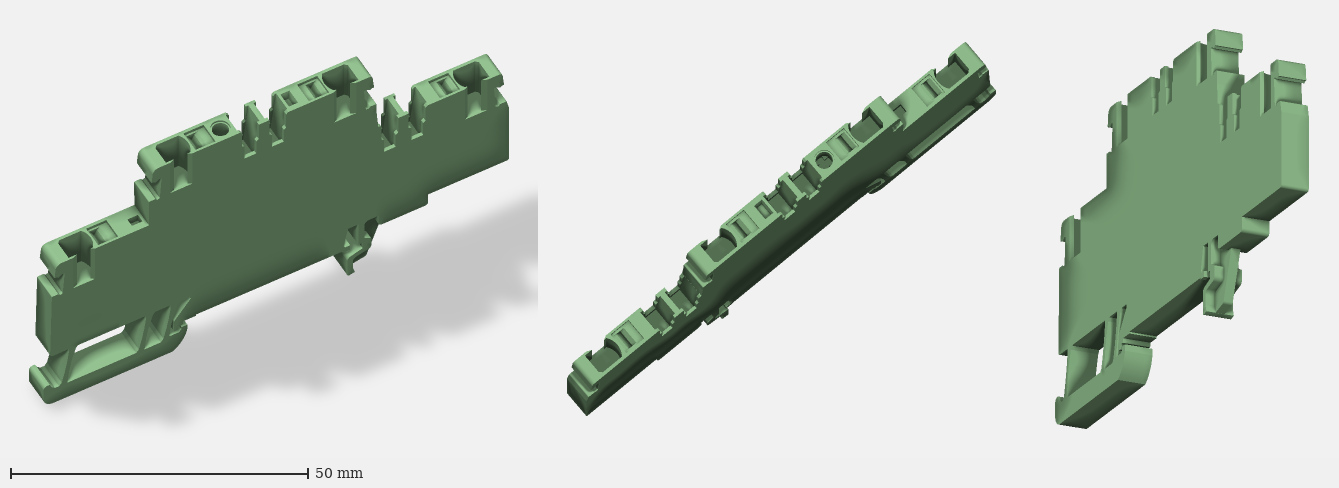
import math

import cadquery as cq


THICKNESS = 5.1
LENGTH = 89.73
HEIGHT = 50.15
LOWER_DECK = 36.05
BODY_BOTTOM = 12.47
BODY_FRONT = 1.25
OVERLAP = 0.5

LOWER_BACK_TIP = 88.75
UPPER_BACK_TIP = 63.7
UPPER_FRONT_TIP = 20.8
LOWER_FRONT_TIP = 2.1
UPPER_FRONT_WALL = 20.33
UPPER_BACK_WALL = 64.5
UPPER_BACK_WALL_LEAN = 0.3
UPPER_BACK_WALL_BEND = 3.8
BACK_FACE_BEND = 26.0

HOOK_LEAN = 0.34
BACK_HOOK_ROUND = 0.8
FRONT_HOOK_ROUND = 1.2
HOOK_DROP = 3.25
NOTCH_INNER = 1.95
NOTCH_BULGE = 0.5
NOTCH_DROP = 7.9

LOWER_SLOT_CENTRE = 69.37
UPPER_SLOT_CENTRE = 42.5
SLOT_DEPTH = 7.3
STEP_DEPTH = 3.8
STEP_SLOPE = 0.35
TOOTH_TOP_HALF = 1.0
TOOTH_ROOT_HALF = 1.5
SLOT_ROOT_HALF = 3.8
SLOT_MOUTH_HALF = 4.25
SLOT_CORNER = 0.4
CORE_TOOTH_HALF = 0.5
CORE_TOOTH_ROOT_HALF = 1.5
CORE_MOUTH_HALF = 4.85
CORE_ROOT_HALF = 3.75
CORE_DEPTH = 8.5
CORE_X = (0.55, 4.4)

LOWER_BACK_ENTRY = 86.15
UPPER_BACK_ENTRY = 60.9
UPPER_FRONT_ENTRY = 23.8
LOWER_FRONT_ENTRY = 5.05
ENTRY_X = (0.58, 4.7)
ENTRY_LENGTH = 5.4
ENTRY_ARC_SAG = 0.7
ENTRY_ROUND = 0.5
ENTRY_DEPTH = 8.0
WINDOW_INNER = (1.6, 4.2)
WINDOW_OUTER = (0.6, 4.9)
CLAMP_START = 5.65
CLAMP_LENGTH = 3.9
CLAMP_FLAT = 1.4
CLAMP_DEPTH = 0.6
GROOVE_X = (0.95, 4.25)
GROOVE_LENGTH = 2.2
GROOVE_DEPTH = 2.0

SCREW_Y = 35.47
SCREW_X = 2.6
SCREW_RIM_RADIUS = 1.7
SCREW_RIM_DEPTH = 0.4
SCREW_HOLE_RADIUS = 1.45
SCREW_HOLE_DEPTH = 4.0
CROSS_WIDTH = 1.1
CROSS_DEPTH = 0.8
TEST_POCKET_X = (1.1, 4.1)
TEST_POCKET_Y = (47.85, 49.6)
TEST_POCKET_DEPTH = 1.5
TEST_POCKET_TAPER = 14.0
LEDGE_POCKET_X = (2.2, 3.8)
LEDGE_POCKET_Y = (17.75, 19.8)
LEDGE_POCKET_DEPTH = 1.5

SEAT_BOTTOM = 7.12
SEAT_LIP = 6.81
SEAT_HOOK_Y = 25.14
SEAT_HOOK_BOTTOM = 5.18
FOOT_BAR_TOP = 3.76
FOOT_TOE_TOP = 5.18
FOOT_HEEL_Y = 27.7
FOOT_HEEL_TOP = 5.46
FOOT_HOLLOW = 4.4
FOOT_TOE_ROUND = 1.9
FOOT_TOE_TOP_ROUND = 0.8
RIB_FRONTS = (24.5, 19.76, 4.9)
CLIP_BLOCK_Y = (64.5, 74.1)
CLIP_BLOCK_BOTTOM = 9.83
WEB_THICKNESS = 1.7


def rounded_profile(points):
    """Close an outline of (y, z) or (y, z, radius) corners in the YZ plane."""
    starts_and_ends = []
    for i, corner in enumerate(points):
        here = cq.Vector(0, corner[0], corner[1])
        if len(corner) == 2:
            starts_and_ends.append((here, None, here))
            continue
        before = cq.Vector(0, *points[i - 1][:2]) - here
        after = cq.Vector(0, *points[(i + 1) % len(points)][:2]) - here
        half_angle = before.getAngle(after) / 2
        setback = corner[2] / math.tan(half_angle)
        bisector = (before.normalized() + after.normalized()).normalized()
        middle = here + bisector * (corner[2] / math.sin(half_angle) - corner[2])
        start = here + before.normalized() * setback
        end = here + after.normalized() * setback
        starts_and_ends.append((start, middle, end))

    edges = []
    for i, (start, middle, end) in enumerate(starts_and_ends):
        if middle is not None:
            edges.append(cq.Edge.makeThreePointArc(start, middle, end))
        next_start = starts_and_ends[(i + 1) % len(points)][0]
        edges.append(cq.Edge.makeLine(end, next_start))
    return cq.Wire.assembleEdges(edges)


def plate(points, x_range=(0, THICKNESS)):
    """Extrude a YZ outline across the given X range."""
    face = cq.Face.makeFromWires(rounded_profile(points))
    solid = cq.Solid.extrudeLinear(face, cq.Vector(x_range[1] - x_range[0], 0, 0))
    return cq.Workplane(obj=solid.translate(cq.Vector(x_range[0], 0, 0)))


def box(x_range, y_range, z_range):
    size = [high - low for low, high in (x_range, y_range, z_range)]
    return cq.Workplane().box(*size, centered=False).translate((x_range[0], y_range[0], z_range[0]))


def end_notch(tip, inward, deck, hook_round):
    """Corners from the wall below a notch, around it and up to the hook's rounded top."""
    local = [
        (-NOTCH_BULGE, NOTCH_DROP, 0.2),
        (0.75, NOTCH_DROP),
        (1.1, NOTCH_DROP + 0.45),
        (NOTCH_INNER - 0.35, NOTCH_DROP + 0.2),
        (NOTCH_INNER, HOOK_DROP - 0.1),
        (NOTCH_INNER - 0.4, HOOK_DROP - 0.25),
        (0.75, HOOK_DROP + 0.3),
        (0.35, HOOK_DROP),
        (0, HOOK_DROP),
        (HOOK_LEAN, 0, hook_round),
    ]
    return [(tip + inward * y, deck - drop, *radius) for y, drop, *radius in local]


def main_body():
    corners = [(LENGTH, BODY_BOTTOM, 0.5), (LENGTH, BACK_FACE_BEND)]
    corners += end_notch(LOWER_BACK_TIP, -1, LOWER_DECK, BACK_HOOK_ROUND)
    corners += [
        (UPPER_BACK_WALL, LOWER_DECK),
        (UPPER_BACK_WALL - UPPER_BACK_WALL_LEAN, LOWER_DECK + UPPER_BACK_WALL_BEND),
    ]
    corners += end_notch(UPPER_BACK_TIP, -1, HEIGHT, BACK_HOOK_ROUND)
    corners += reversed(end_notch(UPPER_FRONT_TIP, 1, HEIGHT, FRONT_HOOK_ROUND))
    corners += [(UPPER_FRONT_WALL, LOWER_DECK)]
    corners += reversed(end_notch(LOWER_FRONT_TIP, 1, LOWER_DECK, FRONT_HOOK_ROUND))
    corners += [(BODY_FRONT, BODY_BOTTOM, 0.6)]
    return plate(corners)


def marker_slot(centre, side, deck):
    """Stepped slot on one side of the tooth, with its wider, deeper core."""
    floor = deck - SLOT_DEPTH
    core_floor = deck - CORE_DEPTH
    step = deck - STEP_DEPTH
    above = deck + OVERLAP

    def place(corners):
        return [(centre + side * y, z) for y, z in corners]

    stepped = place([
        (TOOTH_TOP_HALF, above),
        (TOOTH_TOP_HALF, step),
        (TOOTH_ROOT_HALF, step - STEP_SLOPE),
        (TOOTH_ROOT_HALF, floor),
        (SLOT_ROOT_HALF, floor),
        (SLOT_ROOT_HALF, step - STEP_SLOPE),
        (SLOT_MOUTH_HALF, step),
        (SLOT_MOUTH_HALF, deck - SLOT_CORNER),
        (SLOT_MOUTH_HALF + SLOT_CORNER, deck),
        (SLOT_MOUTH_HALF + SLOT_CORNER, above),
    ])
    core = place([
        (CORE_TOOTH_HALF, above),
        (CORE_TOOTH_HALF, deck),
        (CORE_TOOTH_ROOT_HALF, core_floor),
        (CORE_ROOT_HALF, core_floor),
        (CORE_MOUTH_HALF, deck),
        (CORE_MOUTH_HALF, above),
    ])
    return plate(stepped).union(plate(core, CORE_X))


def wire_entry(outer, inward, deck):
    """Plug hole with an arched inner end, and its flared opening through the +X wall."""
    straight_end = outer + inward * (ENTRY_LENGTH - ENTRY_ARC_SAG)
    floor = deck - ENTRY_DEPTH
    middle_x = sum(ENTRY_X) / 2
    hole = (
        cq.Workplane(origin=(0, 0, floor))
        .moveTo(ENTRY_X[1], outer)
        .lineTo(ENTRY_X[1], straight_end)
        .threePointArc((middle_x, outer + inward * ENTRY_LENGTH), (ENTRY_X[0], straight_end))
        .lineTo(ENTRY_X[0], outer + inward * ENTRY_ROUND)
        .lineTo(ENTRY_X[0] + ENTRY_ROUND, outer)
        .close()
        .extrude(ENTRY_DEPTH)
    )
    window = (
        cq.Workplane(origin=(0, 0, floor))
        .polyline([
            (ENTRY_X[1], outer + inward * WINDOW_INNER[0]),
            (THICKNESS, outer + inward * WINDOW_OUTER[0]),
            (THICKNESS, outer + inward * WINDOW_OUTER[1]),
            (ENTRY_X[1], outer + inward * WINDOW_INNER[1]),
        ])
        .close()
        .extrude(ENTRY_DEPTH)
    )
    return hole.union(window)


def clamp_recess(entry_end, inward, deck):
    """Shallow recess with a cross groove: a steep +Y flank and a gentler -Y flank."""
    near = entry_end + inward * CLAMP_START
    far = near + inward * CLAMP_LENGTH
    low_y = min(near, far)
    floor = deck - CLAMP_DEPTH
    recess = box(ENTRY_X, (low_y, low_y + CLAMP_LENGTH), (floor, deck))
    groove_far = far - inward * CLAMP_FLAT
    groove_y = min(groove_far, groove_far - inward * GROOVE_LENGTH)
    groove = plate(
        [
            (groove_y, floor),
            (groove_y + 0.7, floor - 0.4 * GROOVE_DEPTH),
            (groove_y + 0.8, floor - GROOVE_DEPTH),
            (groove_y + 1.6, floor - 0.2 * GROOVE_DEPTH),
            (groove_y + GROOVE_LENGTH, floor),
        ],
        GROOVE_X,
    )
    return recess.union(groove)


def screw_hole():
    """Stepped round hole in the upper deck with a cross recess at its bottom."""
    floor = HEIGHT - SCREW_HOLE_DEPTH
    rim = cq.Workplane(origin=(SCREW_X, SCREW_Y, HEIGHT)).circle(SCREW_RIM_RADIUS)
    hole = cq.Workplane(origin=(SCREW_X, SCREW_Y, floor)).circle(SCREW_HOLE_RADIUS)
    below = cq.Workplane(origin=(SCREW_X, SCREW_Y, floor)).circle(SCREW_HOLE_RADIUS).extrude(-CROSS_DEPTH)
    arm = cq.Workplane(origin=(SCREW_X, SCREW_Y, floor)).rect(2 * SCREW_HOLE_RADIUS, CROSS_WIDTH)
    arm = arm.extrude(-CROSS_DEPTH)
    other_arm = arm.rotate((SCREW_X, SCREW_Y, 0), (SCREW_X, SCREW_Y, 1), 90)
    cross = arm.union(other_arm).intersect(below)
    return rim.extrude(-SCREW_RIM_DEPTH).union(hole.extrude(SCREW_HOLE_DEPTH)).union(cross)


def test_pocket():
    """Tapered rectangular pocket beside the upper marker slots."""
    centre = (sum(TEST_POCKET_X) / 2, sum(TEST_POCKET_Y) / 2, HEIGHT)
    size = (TEST_POCKET_X[1] - TEST_POCKET_X[0], TEST_POCKET_Y[1] - TEST_POCKET_Y[0])
    return cq.Workplane(origin=centre).rect(*size).extrude(-TEST_POCKET_DEPTH, taper=TEST_POCKET_TAPER)


def ledge_pocket():
    """Narrow pocket in the front lower deck, close to the upper level's wall."""
    return box(
        LEDGE_POCKET_X,
        LEDGE_POCKET_Y,
        (LOWER_DECK - LEDGE_POCKET_DEPTH, LOWER_DECK),
    )


def rail_seat():
    """Pad resting on the rail, with a catch lip at each end."""
    return plate([
        (28.2, BODY_BOTTOM + OVERLAP),
        (58.7, BODY_BOTTOM + OVERLAP),
        (58.7, BODY_BOTTOM),
        (57.75, 8.4, 0.3),
        (58.1, 7.9),
        (59.1, 7.9),
        (59.1, SEAT_LIP),
        (57.7, SEAT_LIP),
        (57.7, SEAT_BOTTOM),
        (29.4, SEAT_BOTTOM),
        (29.4, SEAT_LIP),
        (26.94, SEAT_LIP),
        (26.8, 6.03),
        (26.1, 6.03),
        (25.75, SEAT_HOOK_BOTTOM),
        (SEAT_HOOK_Y, SEAT_HOOK_BOTTOM),
        (SEAT_HOOK_Y, 7.8, 0.5),
        (28.4, 12.0),
    ])


def foot_bar():
    """Lower bar of the foot, with a hooked -Y end and a hollow under the rail catch."""
    outline = (
        cq.Workplane("YZ")
        .moveTo(24.9, 0)
        .lineTo(FOOT_TOE_ROUND, 0)
        .radiusArc((0, FOOT_TOE_ROUND), FOOT_TOE_ROUND)
        .lineTo(0, FOOT_TOE_TOP - FOOT_TOE_TOP_ROUND)
        .radiusArc((FOOT_TOE_TOP_ROUND, FOOT_TOE_TOP), FOOT_TOE_TOP_ROUND)
        .lineTo(1.19, FOOT_TOE_TOP)
        .lineTo(1.5, 4.4)
        .lineTo(2.2, FOOT_BAR_TOP)
        .lineTo(23.0, FOOT_BAR_TOP)
        .lineTo(24.0, FOOT_HOLLOW)
        .lineTo(26.1, FOOT_HOLLOW)
        .lineTo(26.6, 4.9)
        .lineTo(26.6, FOOT_HEEL_TOP)
        .lineTo(FOOT_HEEL_Y, FOOT_HEEL_TOP)
        .lineTo(FOOT_HEEL_Y, 4.3)
        .threePointArc((26.6, 1.65), (24.9, 0))
        .close()
    )
    return outline.extrude(THICKNESS)


def spring_rib(front):
    """Curved rib from the body down to the foot bar, leaning toward -Y."""
    top = BODY_BOTTOM + OVERLAP
    bottom = FOOT_BAR_TOP - OVERLAP
    outline = (
        cq.Workplane("YZ")
        .moveTo(front, top)
        .lineTo(front, BODY_BOTTOM - 0.7)
        .threePointArc((front - 0.5, 8.4), (front - 1.4, 4.4))
        .lineTo(front - 1.9, FOOT_BAR_TOP)
        .lineTo(front - 1.9, bottom)
        .lineTo(front - 0.3, bottom)
        .lineTo(front - 0.3, FOOT_BAR_TOP)
        .threePointArc((front + 0.3, 8.2), (front + 1.3, BODY_BOTTOM - 0.6))
        .lineTo(front + 1.7, BODY_BOTTOM)
        .lineTo(front + 1.7, top)
        .close()
    )
    return outline.extrude(THICKNESS)


def rail_clip():
    """Springy clip: a full-thickness S-shaped strip stiffened by a thin web on its +Y side."""
    strip = plate([
        (60.66, BODY_BOTTOM + OVERLAP),
        (60.66, SEAT_BOTTOM),
        (61.5, SEAT_BOTTOM),
        (61.5, 5.7),
        (58.55, 4.7, 1.0),
        (58.55, 0, 0.3),
        (60.0, 0.3),
        (59.64, 1.5),
        (59.64, 4.05, 0.9),
        (63.2, 5.0, 0.9),
        (63.2, 7.45, 0.4),
        (61.8, 8.2, 0.2),
        (61.8, BODY_BOTTOM, 1.0),
        (CLIP_BLOCK_Y[0], BODY_BOTTOM),
        (CLIP_BLOCK_Y[0], BODY_BOTTOM + OVERLAP),
    ])
    web_start = (THICKNESS - WEB_THICKNESS) / 2
    web = plate(
        [
            (61.0, BODY_BOTTOM + OVERLAP),
            (61.0, SEAT_BOTTOM + OVERLAP),
            (62.4, SEAT_BOTTOM),
            (62.4, 5.2),
            (59.2, 4.0),
            (59.2, 0.15),
            (63.1, 1.0, 0.6),
            (66.25, CLIP_BLOCK_BOTTOM),
            (66.25, BODY_BOTTOM + OVERLAP),
        ],
        (web_start, web_start + WEB_THICKNESS),
    )
    return strip.union(web)


def clip_block():
    """Shallow block under the body beside the clip."""
    top = BODY_BOTTOM + OVERLAP
    return plate([
        (CLIP_BLOCK_Y[0], top),
        (CLIP_BLOCK_Y[0], CLIP_BLOCK_BOTTOM, 0.7),
        (CLIP_BLOCK_Y[1], CLIP_BLOCK_BOTTOM, 0.6),
        (CLIP_BLOCK_Y[1], top),
    ])


result = main_body()
for slot_centre, slot_deck in ((LOWER_SLOT_CENTRE, LOWER_DECK), (UPPER_SLOT_CENTRE, HEIGHT)):
    for slot_side in (-1, 1):
        result = result.cut(marker_slot(slot_centre, slot_side, slot_deck))

terminals = (
    (LOWER_BACK_ENTRY, -1, LOWER_DECK),
    (UPPER_BACK_ENTRY, -1, HEIGHT),
    (UPPER_FRONT_ENTRY, 1, HEIGHT),
    (LOWER_FRONT_ENTRY, 1, LOWER_DECK),
)
for terminal in terminals:
    result = result.cut(wire_entry(*terminal)).cut(clamp_recess(*terminal))

result = result.cut(screw_hole()).cut(test_pocket()).cut(ledge_pocket())

result = result.union(rail_seat()).union(foot_bar()).union(clip_block()).union(rail_clip())
for rib_front in RIB_FRONTS:
    result = result.union(spring_rib(rib_front))